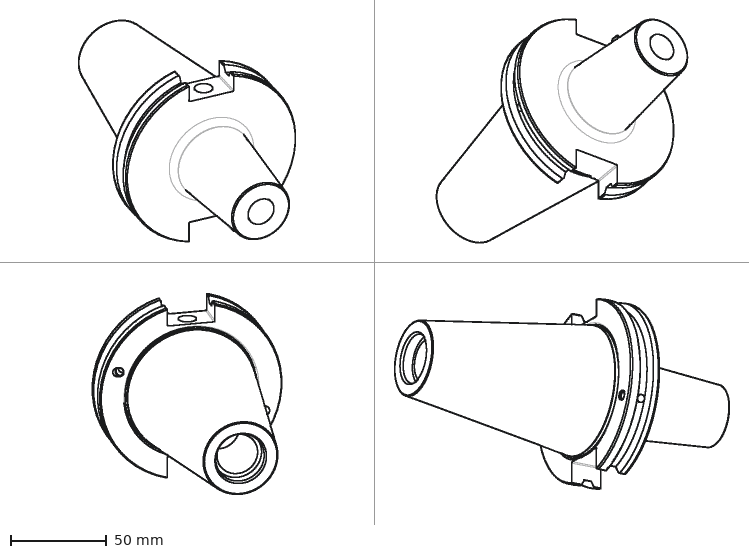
import cadquery as cq
import math


gauge_diameter = 69.85
taper_ratio = 7 / 24
shank_length = 101.6
shank_end_chamfer = 0.5
relief_diameter = 69.25
relief_chamfer_length = 0.5

flange_diameter = 98.425
flange_front = 1.5
flange_back = 19.05
flange_edge_chamfer = 1.0
flange_chamfer_angle = 30
face_recess_diameter = 73.0
face_recess_depth = 0.9
groove_center = 11.1
groove_floor_diameter = 91.6
groove_floor_width = 4.1
groove_flank_angle = 30

nose_length = 80.0
nose_base_diameter = 42.0
nose_base_x = 23.0
nose_end_diameter = 33.4
nose_end_chamfer = 0.7
nose_root_radius = 3.5

slot_width = 25.7
slot_depth_top = 37.7
slot_depth_bottom = 35.3
slot_rim_width = 26.86
slot_floor_fillet = 0.6
mark_diameter = 9.53
mark_x = 9.53
mark_depth = 9.0
drill_point_angle = 118

entry_diameter = 27.9
pilot_diameter = 26.2
entry_cone_angle = 30
pilot_depth = 7.0
thread_diameter = 21.97
thread_depth = 45.0
through_diameter = 14.92

coolant_angle = 20
feed_radius = 42.0
feed_tilt = 33
feed_diameter = 5.0
feed_depth = 3.0
duct_diameter = 4.13
cross_diameter = 4.2
cross_overrun = 2.5


def drill_cone_length(large_diameter, small_diameter=0.0):
    """Axial length of a drill-point cone between two diameters."""
    half_angle = math.radians(drill_point_angle / 2)
    return (large_diameter - small_diameter) / 2 / math.tan(half_angle)


def taper_radius(x):
    """Radius of the shank taper at position x."""
    return (gauge_diameter + taper_ratio * x) / 2


def make_body():
    """Revolved shank, flange and nose, without any holes or slots."""
    flange_radius = flange_diameter / 2
    floor_radius = groove_floor_diameter / 2
    groove_half_floor = groove_floor_width / 2
    flank_run = (flange_radius - floor_radius) * math.tan(math.radians(groove_flank_angle))
    groove_half_top = groove_half_floor + flank_run
    chamfer = flange_edge_chamfer
    chamfer_rise = chamfer * math.tan(math.radians(flange_chamfer_angle))
    recess_radius = face_recess_diameter / 2
    recess_floor_x = flange_front + face_recess_depth
    nose_base_radius = nose_base_diameter / 2
    profile = (
        cq.Workplane("XY")
        .moveTo(-shank_length, 0)
        .lineTo(-shank_length, taper_radius(-shank_length) - shank_end_chamfer)
        .lineTo(-shank_length + shank_end_chamfer, taper_radius(-shank_length + shank_end_chamfer))
        .lineTo(0, taper_radius(0))
        .lineTo(relief_chamfer_length, relief_diameter / 2)
        .lineTo(recess_floor_x, relief_diameter / 2)
        .lineTo(recess_floor_x, recess_radius - face_recess_depth)
        .radiusArc((flange_front, recess_radius), face_recess_depth)
        .lineTo(flange_front, flange_radius - chamfer_rise)
        .lineTo(flange_front + chamfer, flange_radius)
        .lineTo(groove_center - groove_half_top, flange_radius)
        .lineTo(groove_center - groove_half_floor, floor_radius)
        .lineTo(groove_center + groove_half_floor, floor_radius)
        .lineTo(groove_center + groove_half_top, flange_radius)
        .lineTo(flange_back - chamfer, flange_radius)
        .lineTo(flange_back, flange_radius - chamfer_rise)
        .lineTo(flange_back, nose_base_radius + nose_root_radius)
        .radiusArc((flange_back + nose_root_radius, nose_base_radius), -nose_root_radius)
        .lineTo(nose_base_x, nose_base_radius)
        .lineTo(nose_length - nose_end_chamfer, nose_end_diameter / 2)
        .lineTo(nose_length, nose_end_diameter / 2 - nose_end_chamfer)
        .lineTo(nose_length, 0)
        .close()
    )
    return profile.revolve(360, (0, 0, 0), (1, 0, 0))


def make_bore():
    """Stepped axial bore, open at both ends."""
    start = -shank_length
    entry_cone_length = (entry_diameter - pilot_diameter) / 2 / math.tan(math.radians(entry_cone_angle))
    tip = start + thread_depth
    return (
        cq.Workplane("XY")
        .moveTo(start, 0)
        .lineTo(start, entry_diameter / 2)
        .lineTo(start + entry_cone_length, pilot_diameter / 2)
        .lineTo(start + pilot_depth, pilot_diameter / 2)
        .lineTo(start + pilot_depth, thread_diameter / 2)
        .lineTo(tip, thread_diameter / 2)
        .lineTo(tip + drill_cone_length(thread_diameter, through_diameter), through_diameter / 2)
        .lineTo(nose_length, through_diameter / 2)
        .lineTo(nose_length, 0)
        .close()
        .revolve(360, (0, 0, 0), (1, 0, 0))
    )


def make_slot(floor_height):
    """Drive slot opening toward +Z, with filleted floor corners and chamfered rims."""
    half_width = slot_width / 2
    rim_half_width = slot_rim_width / 2
    rim_height = math.sqrt((flange_diameter / 2) ** 2 - rim_half_width**2)
    chamfer_start = rim_height - (rim_half_width - half_width)
    top = flange_diameter / 2
    top_half_width = rim_half_width + top - rim_height
    section = (
        cq.Workplane("YZ")
        .moveTo(-half_width, floor_height)
        .lineTo(half_width, floor_height)
        .lineTo(half_width, chamfer_start)
        .lineTo(top_half_width, top)
        .lineTo(-top_half_width, top)
        .lineTo(-half_width, chamfer_start)
        .close()
        .extrude(flange_back - flange_front)
    )
    section = section.faces("<Z").edges("|X").fillet(slot_floor_fillet)
    return section.translate((flange_front, 0, 0))


def make_mark():
    """Blind drilled hole in the floor of the upper drive slot."""
    radius = mark_diameter / 2
    return (
        cq.Workplane("XZ")
        .moveTo(0, 0)
        .lineTo(radius, 0)
        .lineTo(radius, -mark_depth)
        .lineTo(0, -mark_depth - drill_cone_length(mark_diameter))
        .close()
        .revolve(360, (0, 0, 0), (0, 1, 0))
        .translate((mark_x, 0, slot_depth_top))
    )


def make_coolant_passage():
    """Stepped inclined hole in the flange face, meeting a radial hole from the V-groove."""
    tilt = math.radians(feed_tilt)
    junction_run = groove_center - flange_front
    junction_radius = feed_radius - junction_run * math.tan(tilt)
    direction = cq.Vector(math.cos(tilt), -math.sin(tilt), 0)
    mouth = cq.Vector(flange_front, feed_radius, 0)
    lead_in = feed_diameter
    start = mouth - direction * lead_in
    feed = cq.Solid.makeCylinder(feed_diameter / 2, lead_in + feed_depth, start, direction)
    duct = cq.Solid.makeCylinder(duct_diameter / 2, junction_run / math.cos(tilt), mouth, direction)
    cross_bottom = junction_radius - cross_overrun
    cross = cq.Solid.makeCylinder(
        cross_diameter / 2,
        flange_diameter / 2 - cross_bottom,
        cq.Vector(groove_center, cross_bottom, 0),
        cq.Vector(0, 1, 0),
    )
    passage = cq.Workplane(obj=feed.fuse(duct, cross))
    return passage.rotate((0, 0, 0), (1, 0, 0), coolant_angle)


result = make_body().cut(make_bore())
result = result.cut(make_slot(slot_depth_top))
result = result.cut(make_slot(slot_depth_bottom).rotate((0, 0, 0), (1, 0, 0), 180))
result = result.cut(make_mark())
for turn in (0, 180):
    result = result.cut(make_coolant_passage().rotate((0, 0, 0), (1, 0, 0), turn))